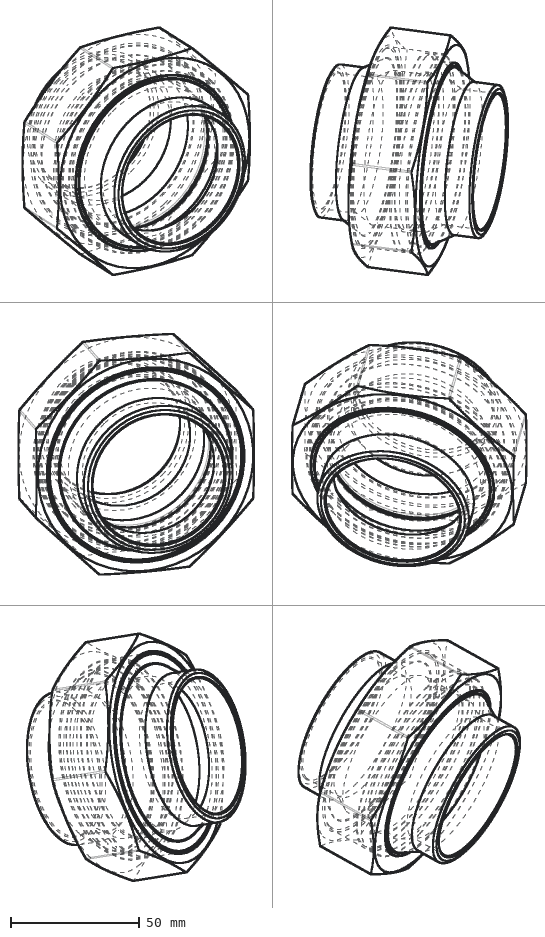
import cadquery as cq
import math


total_length = 65.0
nut_width = 27.0
across_flats = 88.0

pipe_diameter = 60.3
pipe_length = 10.65
bore_diameter = 53.3
chamber_diameter = 61.0
bore_depth = 15.3
cone_angle = 30.0
neck_diameter = 69.6
neck_corner_diameter = 70.4
end_chamfer_length = 0.8
end_chamfer_depth = 1.5
bore_chamfer = 0.4
seat_fillet = 0.5

thread_diameter = 78.8
thread_chamfer = 0.6
nut_sides = 8
nut_corner_fillet = 1.0
nut_face_diameter = 87.1
nut_chamfer_angle = 21.0
lip_hole_diameter = 73.0
lip_thickness = 5.0
collar_diameter = 72.5
flange_diameter = 77.9
gasket_diameter = 77.5
gasket_bore_diameter = 63.0
gasket_start = 2.0
gasket_thickness = 1.9

half_length = total_length / 2
nut_half_width = nut_width / 2
gasket_end = gasket_start + gasket_thickness
lip_start = nut_half_width - lip_thickness
cone_slope = math.tan(math.radians(cone_angle))


def revolve_about_x(points):
    """Solid of revolution about the X axis from (x, radius) points."""
    return cq.Workplane("XY").polyline(points).close().revolve(360, (0, 0, 0), (1, 0, 0))


def round_seat_edge(weld_end, seat_x):
    """Round the edge between a weld end's bore and its gasket face."""
    reach = chamber_diameter / 2 + seat_fillet / 2
    edge_box = cq.selectors.BoxSelector(
        (seat_x - seat_fillet / 2, -reach, -reach),
        (seat_x + seat_fillet / 2, reach, reach),
        boundingbox=True,
    )
    return weld_end.edges("%CIRCLE").edges(edge_box).fillet(seat_fillet)


def weld_end_inside(seat_distance):
    """Bore points from the seat out to the pipe end, as (distance from centre, radius)."""
    bore_end = half_length - bore_depth
    widening_length = (chamber_diameter - bore_diameter) / 2 / cone_slope
    return [
        (seat_distance, chamber_diameter / 2),
        (bore_end - widening_length, chamber_diameter / 2),
        (bore_end, bore_diameter / 2),
        (half_length - bore_chamfer, bore_diameter / 2),
        (half_length, bore_diameter / 2 + bore_chamfer),
    ]


def weld_end_neck():
    """Outer points from the pipe end in to the nut face, as (distance from centre, radius)."""
    cone_start = half_length - pipe_length
    cone_length = (neck_diameter - pipe_diameter) / 2 / cone_slope
    return [
        (half_length, pipe_diameter / 2 - end_chamfer_depth),
        (half_length - end_chamfer_length, pipe_diameter / 2),
        (cone_start, pipe_diameter / 2),
        (cone_start - cone_length, neck_diameter / 2),
        (nut_half_width, neck_corner_diameter / 2),
    ]


def make_threaded_end():
    """Weld end on the -X side, screwed into the open end of the nut."""
    seat_distance = -gasket_start
    thread_radius = thread_diameter / 2
    thread = [
        (nut_half_width, thread_radius - thread_chamfer),
        (nut_half_width - thread_chamfer, thread_radius),
        (seat_distance, thread_radius),
    ]
    profile = weld_end_inside(seat_distance) + weld_end_neck() + thread
    weld_end = revolve_about_x([(-distance, radius) for distance, radius in profile])
    return round_seat_edge(weld_end, gasket_start)


def make_collar_end():
    """Weld end on the +X side, its flange held behind the lip of the nut."""
    flange = [
        (nut_half_width, collar_diameter / 2),
        (lip_start, collar_diameter / 2),
        (lip_start, flange_diameter / 2),
        (gasket_end, flange_diameter / 2),
    ]
    weld_end = revolve_about_x(weld_end_inside(gasket_end) + weld_end_neck() + flange)
    return round_seat_edge(weld_end, gasket_end)


def make_gasket():
    """Flat ring between the two weld ends."""
    return (
        cq.Workplane("YZ", origin=(gasket_start, 0, 0))
        .circle(gasket_diameter / 2)
        .circle(gasket_bore_diameter / 2)
        .extrude(gasket_thickness)
    )


def make_nut():
    """Octagonal nut with rounded corners, chamfered faces, a thread bore and a lip."""
    circumscribed_diameter = across_flats / math.cos(math.pi / nut_sides)
    prism = (
        cq.Workplane("YZ")
        .transformed(rotate=(0, 0, 180 / nut_sides))
        .polygon(nut_sides, circumscribed_diameter)
        .extrude(nut_half_width, both=True)
        .edges("|X")
        .fillet(nut_corner_fillet)
    )

    face_radius = nut_face_diameter / 2
    outer_radius = circumscribed_diameter / 2
    chamfer_length = (outer_radius - face_radius) * math.tan(math.radians(nut_chamfer_angle))
    chamfer_envelope = revolve_about_x([
        (-nut_half_width, 0),
        (-nut_half_width, face_radius),
        (chamfer_length - nut_half_width, outer_radius),
        (nut_half_width - chamfer_length, outer_radius),
        (nut_half_width, face_radius),
        (nut_half_width, 0),
    ])

    thread_radius = thread_diameter / 2
    lip_hole_radius = lip_hole_diameter / 2
    bore = revolve_about_x([
        (-nut_half_width, 0),
        (-nut_half_width, thread_radius + thread_chamfer),
        (thread_chamfer - nut_half_width, thread_radius),
        (lip_start, thread_radius),
        (lip_start, lip_hole_radius),
        (nut_half_width, lip_hole_radius),
        (nut_half_width, 0),
    ])
    return prism.intersect(chamfer_envelope).cut(bore)


threaded_end = make_threaded_end()
collar_end = make_collar_end()
gasket = make_gasket()
nut = make_nut()

result = cq.Compound.makeCompound([threaded_end.val(), collar_end.val(), gasket.val(), nut.val()])